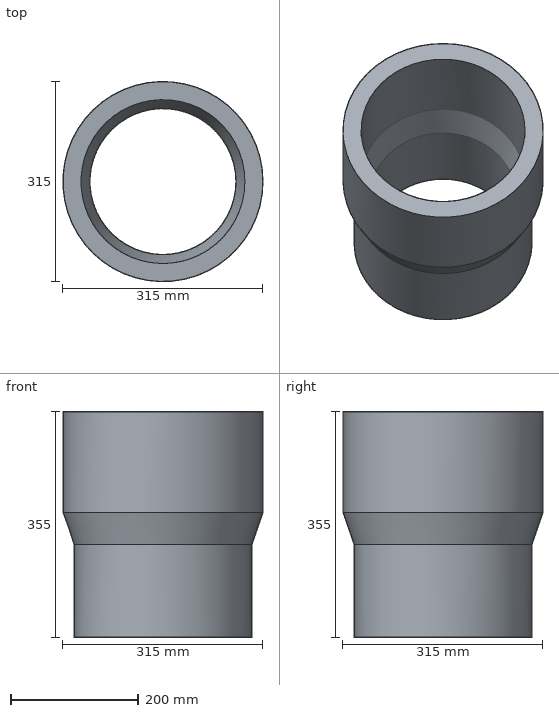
import cadquery as cq

total_height = 355.0
small_end_length = 146.3
cone_length = 50.5
large_outer_diameter = 315.0
large_bore_diameter = 257.7
small_outer_diameter = 280.0
small_bore_diameter = 229.5

cone_top = small_end_length + cone_length


def stepped_solid(small_diameter, large_diameter):
    """Small cylinder, cone and large cylinder stacked in one revolved solid."""
    small_radius = small_diameter / 2
    large_radius = large_diameter / 2
    half_profile = [
        (0, 0),
        (small_radius, 0),
        (small_radius, small_end_length),
        (large_radius, cone_top),
        (large_radius, total_height),
        (0, total_height),
    ]
    return cq.Workplane("XZ").polyline(half_profile).close().revolve(360, (0, 0), (0, 1))


outer_body = stepped_solid(small_outer_diameter, large_outer_diameter)
bore = stepped_solid(small_bore_diameter, large_bore_diameter)

result = outer_body.cut(bore)